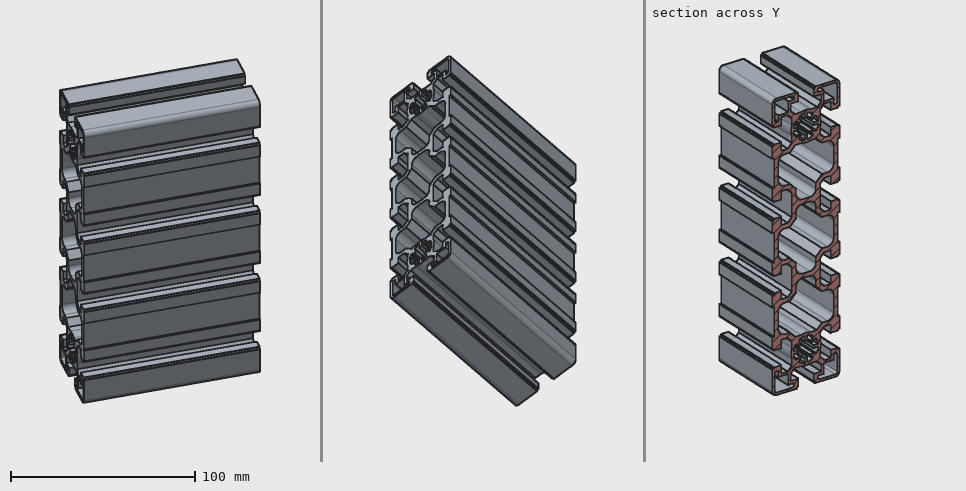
import cadquery as cq

MODULE = 45.0
MODULE_COUNT = 4
HEIGHT = MODULE * MODULE_COUNT
LENGTH = 100.0
HALF = MODULE / 2
CORNER_RADIUS = 3.0

SLOT_HALF_WIDTH = 5.0
STEP_WIDTH = 1.0
STEP_DEPTH = 1.3
STEP_BEVEL = 0.7
LIP_DEPTH = 6.1
LIP_INNER = HALF - LIP_DEPTH
POCKET_HALF_WIDTH = 10.0
POCKET_FLOOR = 9.5
POCKET_CHAMFER = 2.7

RECESS_DEPTH = 1.3
RECESS_START = 13.5
RECESS_HALF_HEIGHT = HALF - RECESS_START

WALL = 3.0
CHAMBER_HALF_WIDTH = 18.2
CHAMBER_HALF_HEIGHT = HALF - POCKET_HALF_WIDTH - WALL
CHAMBER_FILLET = 4.0
NECK_HALF_WIDTH = POCKET_FLOOR - WALL
SHOULDER_HALF_WIDTH = 10.6

THIN_WALL = 1.8
HOLLOW_OUTER = HALF - THIN_WALL
LIP_WALL = 2.2
HOLLOW_LEG_INNER = LIP_INNER + LIP_WALL
HOLLOW_CORE = POCKET_HALF_WIDTH + THIN_WALL
HOLLOW_LEG_END = 8.1
HOLLOW_FILLET = CORNER_RADIUS - THIN_WALL

CORE_OUTER_RADIUS = 10.0
CORE_BORE_RADIUS = 8.1
RIB_COUNT = 8
RIB_TIP_RADIUS = 5.0
RIB_WIDTH = 2.0
BORE_ARM_WIDTH = 8.6

module_heights = [(i - (MODULE_COUNT - 1) / 2) * MODULE for i in range(MODULE_COUNT)]
end_heights = [module_heights[0], module_heights[-1]]


def extrude(sketch):
    """Extrude an XZ outline over the full profile length, centred on Y = 0."""
    return sketch.extrude(LENGTH / 2, both=True)


def prism(points):
    return extrude(cq.Workplane("XZ").polyline(points).close())


def block(width, height):
    return extrude(cq.Workplane("XZ").rect(width, height))


def disc(radius):
    return extrude(cq.Workplane("XZ").circle(radius))


def turn(shape, angle):
    """Rotate about the Y axis."""
    return shape.rotate((0, 0, 0), (0, 1, 0), angle)


def raise_to(shape, height):
    return shape.translate((0, 0, height))


def make_slot():
    """T-slot opening upward from a module centred on the origin."""
    step_side = SLOT_HALF_WIDTH + STEP_WIDTH
    step_floor = HALF - STEP_DEPTH
    right = [
        (POCKET_HALF_WIDTH - POCKET_CHAMFER, POCKET_FLOOR),
        (POCKET_HALF_WIDTH, POCKET_FLOOR + POCKET_CHAMFER),
        (POCKET_HALF_WIDTH, LIP_INNER),
        (SLOT_HALF_WIDTH, LIP_INNER),
        (SLOT_HALF_WIDTH, step_floor),
        (step_side - STEP_BEVEL, step_floor),
        (step_side, step_floor + STEP_BEVEL),
        (step_side, HALF),
    ]
    left = [(-x, z) for x, z in reversed(right)]
    return prism(right + left)


def make_sloped_end(inner_half_width):
    """Part of a chamber that narrows at 45 degrees upward from its top shoulder."""
    rise = SHOULDER_HALF_WIDTH - inner_half_width
    top = CHAMBER_HALF_HEIGHT + rise
    return prism([
        (-SHOULDER_HALF_WIDTH, 0),
        (SHOULDER_HALF_WIDTH, 0),
        (SHOULDER_HALF_WIDTH, CHAMBER_HALF_HEIGHT),
        (inner_half_width, top),
        (-inner_half_width, top),
        (-SHOULDER_HALF_WIDTH, CHAMBER_HALF_HEIGHT),
    ])


def make_neck():
    """Narrow part of a chamber, reaching up to the web at a middle module."""
    neck_top = HALF - WALL / 2
    neck = block(2 * NECK_HALF_WIDTH, 2 * neck_top).edges("|Y").fillet(CHAMBER_FILLET)
    upper_half = raise_to(block(MODULE, MODULE), HALF)
    return neck.intersect(upper_half).union(make_sloped_end(NECK_HALF_WIDTH))


def make_core_end():
    """Short chamber end, stopping at the wall of a screw channel."""
    rise = HALF - POCKET_FLOOR - CHAMBER_HALF_HEIGHT
    return make_sloped_end(SHOULDER_HALF_WIDTH - rise)


def make_chamber(top_end, bottom_end):
    body = block(2 * CHAMBER_HALF_WIDTH, 2 * CHAMBER_HALF_HEIGHT)
    body = body.edges("|Y").fillet(CHAMBER_FILLET)
    return body.union(top_end).union(turn(bottom_end, 180))


def make_corner_hollow():
    """L-shaped hollow in the +X +Z corner of a module."""
    outline = prism([
        (HOLLOW_OUTER, HOLLOW_OUTER),
        (HOLLOW_LEG_END, HOLLOW_OUTER),
        (HOLLOW_LEG_END, HOLLOW_LEG_INNER),
        (HOLLOW_CORE, HOLLOW_LEG_INNER),
        (HOLLOW_CORE, HOLLOW_CORE),
        (HOLLOW_LEG_INNER, HOLLOW_CORE),
        (HOLLOW_LEG_INNER, HOLLOW_LEG_END),
        (HOLLOW_OUTER, HOLLOW_LEG_END),
    ])
    return outline.edges("|Y and (>X or >Z)").fillet(HOLLOW_FILLET)


def make_ribbed_bore():
    bore_diameter = 2 * CORE_BORE_RADIUS
    cross = block(BORE_ARM_WIDTH, bore_diameter).union(block(bore_diameter, BORE_ARM_WIDTH))
    bore = disc(CORE_BORE_RADIUS).intersect(cross)
    rib_middle = (RIB_TIP_RADIUS + CORE_OUTER_RADIUS) / 2
    rib = raise_to(block(RIB_WIDTH, CORE_OUTER_RADIUS - RIB_TIP_RADIUS), rib_middle)
    for i in range(RIB_COUNT):
        bore = bore.cut(turn(rib, i * 360 / RIB_COUNT))
    return bore


profile = block(MODULE, HEIGHT).edges("|Y").fillet(CORNER_RADIUS)

slot = make_slot()
for height in module_heights:
    for angle in (90, -90):
        profile = profile.cut(raise_to(turn(slot, angle), height))
profile = profile.cut(raise_to(slot, module_heights[-1]))
profile = profile.cut(raise_to(turn(slot, 180), module_heights[0]))

neck = make_neck()
core_end = make_core_end()
recess = block(2 * RECESS_DEPTH, 2 * RECESS_HALF_HEIGHT)
for lower, upper in zip(module_heights, module_heights[1:]):
    middle = (lower + upper) / 2
    top_end = core_end if upper in end_heights else neck
    bottom_end = core_end if lower in end_heights else neck
    profile = profile.cut(raise_to(make_chamber(top_end, bottom_end), middle))
    for side in (-HALF, HALF):
        profile = profile.cut(recess.translate((side, 0, middle)))

corner_hollow = make_corner_hollow()
for angle in (0, -90):
    profile = profile.cut(raise_to(turn(corner_hollow, angle), module_heights[-1]))
for angle in (90, 180):
    profile = profile.cut(raise_to(turn(corner_hollow, angle), module_heights[0]))

ribbed_bore = make_ribbed_bore()
for height in end_heights:
    profile = profile.union(raise_to(disc(CORE_OUTER_RADIUS), height))
    profile = profile.cut(raise_to(ribbed_bore, height))

result = profile